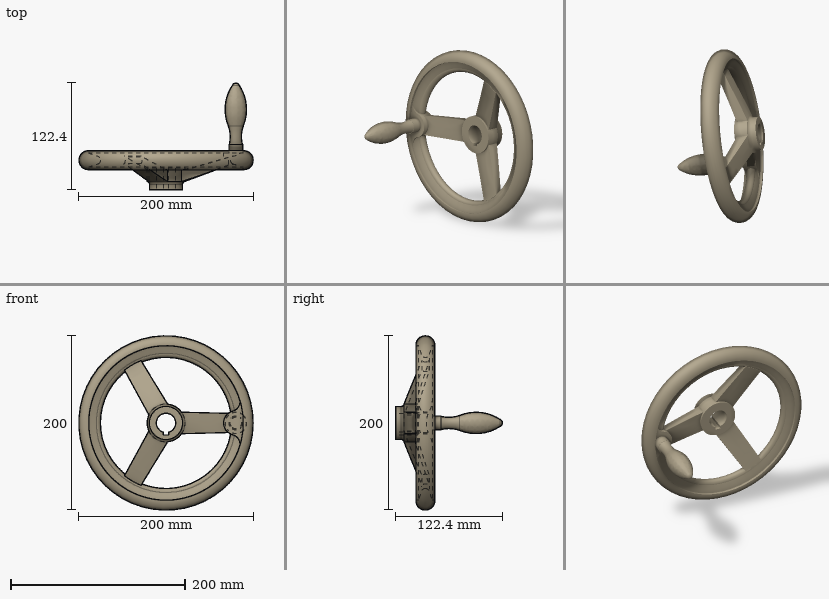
import cadquery as cq
import math


rim_outer_radius = 100.0
rim_width = 22.0
rim_tube_radius = rim_width / 2
rim_tube_centre = rim_outer_radius - rim_tube_radius
wheel_depth = 45.0
rim_front = wheel_depth - rim_width
rim_inner_radius = 75.0
rim_middle = rim_front + rim_tube_radius
web_recess = 3.0
web_inset = 0.5
web_radius = rim_tube_centre - web_inset
web_front = rim_front + web_recess
web_back = wheel_depth - web_recess
lip_radius = 4.8
lip_centre = rim_inner_radius + lip_radius

hub_length = 25.0
hub_radius = 21.7
hub_nose_radius = 19.0
hub_nose_length = 6.2
hub_fillet_length = 3.4
bore_diameter = 22.0
keyway_width = 6.0
keyway_height = 24.8
keyway_reach = keyway_height - bore_diameter / 2

spoke_count = 3
spoke_root = 17.0
spoke_end = 77.0
spoke_half_width_root = 12.5
spoke_half_width_end = 11.0
spoke_front_root = hub_nose_length + hub_fillet_length
spoke_front_end = 30.1
spoke_back_root = 22.5
spoke_back_end = 38.6

handle_offset = 80.0
seat_radius = 14.0
seat_blend_radius = 11.0

collar_root = -rim_tube_radius
collar_radius = 8.0
collar_length = 7.2
neck_start_radius = 7.6
neck_radius = 6.6
neck_middle = 17.0
grip_start = 28.3
grip_start_radius = 8.7
grip_middle = 47.0
grip_radius = 12.4
cap_start = 74.7
cap_radius = 4.0
handle_length = 77.37


def revolve_about_y(profile):
    return profile.close().revolve(360, (0, 0, 0), (0, 1, 0))


def make_rim():
    profile = (
        cq.Workplane("XY")
        .moveTo(rim_tube_centre, rim_front)
        .threePointArc((rim_outer_radius, rim_middle), (rim_tube_centre, wheel_depth))
        .lineTo(web_radius, wheel_depth)
        .lineTo(web_radius, web_back)
        .lineTo(lip_centre, rim_middle + lip_radius)
        .threePointArc((rim_inner_radius, rim_middle), (lip_centre, rim_middle - lip_radius))
        .lineTo(web_radius, web_front)
        .lineTo(web_radius, rim_front)
    )
    return revolve_about_y(profile)


def make_hub():
    profile = (
        cq.Workplane("XY")
        .lineTo(hub_nose_radius, 0)
        .lineTo(hub_nose_radius, hub_nose_length)
        .tangentArcPoint((hub_radius, hub_nose_length + hub_fillet_length), relative=False)
        .lineTo(hub_radius, hub_length)
        .lineTo(0, hub_length)
    )
    return revolve_about_y(profile)


def make_spoke():
    profile = (
        cq.Workplane("XY")
        .moveTo(spoke_root, spoke_front_root)
        .lineTo(hub_radius, spoke_front_root)
        .lineTo(spoke_end, spoke_front_end)
        .lineTo(spoke_end, spoke_back_end)
        .lineTo(hub_radius, spoke_back_root)
        .lineTo(spoke_root, spoke_back_root)
    )
    outline = (
        cq.Workplane("XZ")
        .polyline([
            (spoke_root, -spoke_half_width_root),
            (spoke_end, -spoke_half_width_end),
            (spoke_end, spoke_half_width_end),
            (spoke_root, spoke_half_width_root),
        ])
        .close()
        .extrude(-wheel_depth)
    )
    return revolve_about_y(profile).intersect(outline)


def mirrored(point):
    return (point[0], -point[1])


def make_seat():
    blend_from_axis = web_radius - seat_blend_radius
    blend_from_seat = seat_radius + seat_blend_radius
    blend_x = (blend_from_axis**2 - blend_from_seat**2 + handle_offset**2) / (2 * handle_offset)
    blend_z = math.sqrt(blend_from_axis**2 - blend_x**2)
    share = seat_radius / blend_from_seat
    seat_tangent = (handle_offset + (blend_x - handle_offset) * share, blend_z * share)
    reach = web_radius / blend_from_axis
    rim_tangent = (blend_x * reach, blend_z * reach)
    seat_angle = math.atan2(-blend_z, handle_offset - blend_x)
    rim_angle = math.atan2(blend_z, blend_x)
    middle_angle = (seat_angle + rim_angle) / 2
    blend_middle = (
        blend_x + seat_blend_radius * math.cos(middle_angle),
        blend_z + seat_blend_radius * math.sin(middle_angle),
    )
    return (
        cq.Workplane("XZ", origin=(0, web_front, 0))
        .moveTo(*rim_tangent)
        .threePointArc(blend_middle, seat_tangent)
        .threePointArc((handle_offset - seat_radius, 0), mirrored(seat_tangent))
        .threePointArc(mirrored(blend_middle), mirrored(rim_tangent))
        .threePointArc((web_radius, 0), rim_tangent)
        .close()
        .extrude(web_front - web_back)
    )


def make_handle():
    cap_height = handle_length - cap_start
    cap_sphere_radius = (cap_radius**2 + cap_height**2) / (2 * cap_height)
    cap_middle_angle = math.asin(cap_radius / cap_sphere_radius) / 2
    cap_middle = (
        cap_sphere_radius * math.sin(cap_middle_angle),
        handle_length - cap_sphere_radius * (1 - math.cos(cap_middle_angle)),
    )
    profile = (
        cq.Workplane("XY")
        .moveTo(0, collar_root)
        .lineTo(collar_radius, collar_root)
        .lineTo(collar_radius, collar_length)
        .lineTo(neck_start_radius, collar_length)
        .threePointArc((neck_radius, neck_middle), (grip_start_radius, grip_start))
        .threePointArc((grip_radius, grip_middle), (cap_radius, cap_start))
        .threePointArc(cap_middle, (0, handle_length))
    )
    return revolve_about_y(profile).translate((handle_offset, wheel_depth, 0))


def cut_bore(body):
    bore = cq.Workplane("XZ").circle(bore_diameter / 2).extrude(-hub_length)
    keyway = (
        cq.Workplane("XZ")
        .center(0, -keyway_reach / 2)
        .rect(keyway_width, keyway_reach)
        .extrude(-hub_length)
    )
    return body.cut(bore).cut(keyway)


wheel = make_rim().union(make_hub())
for index in range(spoke_count):
    angle = index * 360 / spoke_count
    wheel = wheel.union(make_spoke().rotate((0, 0, 0), (0, 1, 0), angle))
wheel = wheel.union(make_seat()).union(make_handle())
result = cut_bore(wheel)